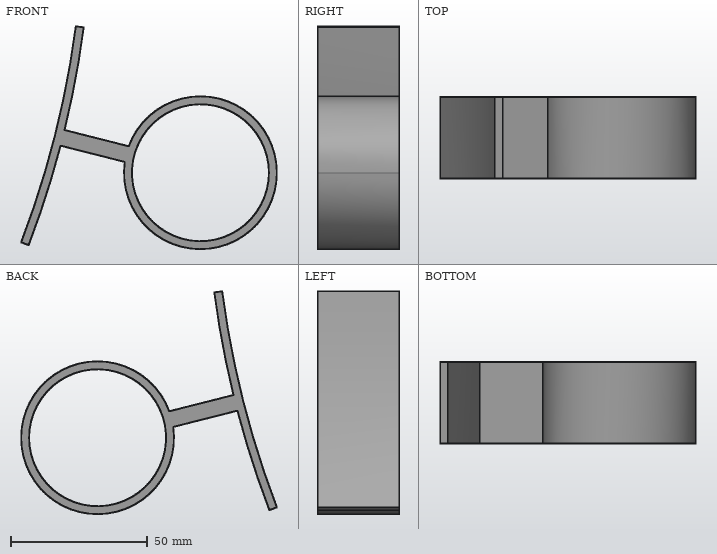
import cadquery as cq
import math

width = 30.0
wall = 3.0
ring_outer_radius = 28.0
ring_inner_radius = ring_outer_radius - wall
arm_thickness = 2 * wall
arm_tilt = 14.2
plate_distance = 55.1
plate_far_radius = 347.1
plate_chord = 81.7


def extruded(sketch):
    """Give a profile in the XZ plane the full part width, centred on Y."""
    return sketch.extrude(width).translate((0, width / 2, 0))


def curved_plate():
    """Arc-shaped plate with radial ends, bulging toward the ring."""
    near_radius = plate_far_radius + wall
    centre_x = -(plate_distance + plate_far_radius)
    half_angle = math.asin(plate_chord / 2 / plate_far_radius)

    def arc_point(radius, angle):
        return (centre_x + radius * math.cos(angle), radius * math.sin(angle))

    return extruded(
        cq.Workplane("XZ")
        .moveTo(*arc_point(plate_far_radius, -half_angle))
        .threePointArc(arc_point(plate_far_radius, 0), arc_point(plate_far_radius, half_angle))
        .lineTo(*arc_point(near_radius, half_angle))
        .threePointArc(arc_point(near_radius, 0), arc_point(near_radius, -half_angle))
        .close()
    )


def arm():
    """Straight web ending inside the plate and inside the ring wall."""
    plate_end = plate_distance - wall / 2
    length = plate_end - ring_inner_radius
    middle_x = -(plate_end + ring_inner_radius) / 2
    return extruded(cq.Workplane("XZ").center(middle_x, 0).rect(length, arm_thickness))


ring_disc = extruded(cq.Workplane("XZ").circle(ring_outer_radius))
bore = extruded(cq.Workplane("XZ").circle(ring_inner_radius))
holder = curved_plate().union(arm()).rotate((0, 0, 0), (0, 1, 0), arm_tilt)

result = ring_disc.union(holder).cut(bore).clean()